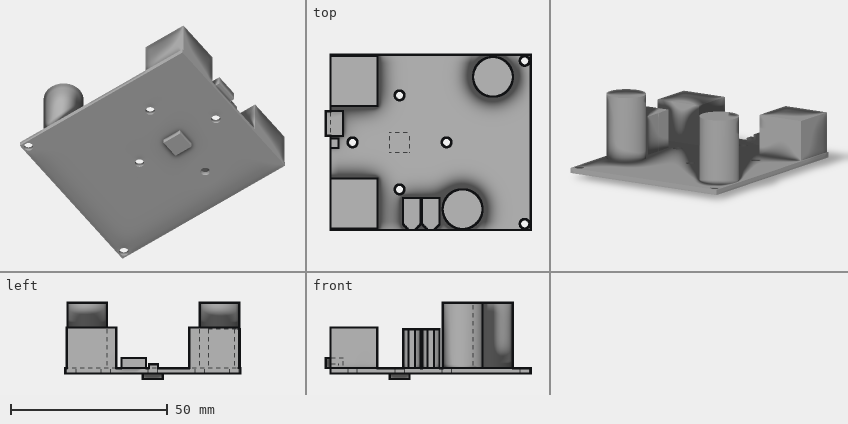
import cadquery as cq

BOARD_LENGTH = 64.0
BOARD_WIDTH = 56.0
BOARD_THICKNESS = 1.7
BOARD_MID_Y = BOARD_WIDTH / 2

HOLE_DIAMETER = 3.0
CORNER_HOLE_INSET = 2.0
HOLE_RING_RADIUS = 15.0
HOLE_RING_X = 22.1

SOCKET_LENGTH = 15.0
SOCKET_WIDTH = 15.9
SOCKET_HEIGHT = 13.0
SOCKET_EDGE_GAP = 0.5

USB_LENGTH = 5.6
USB_WIDTH = 7.9
USB_HEIGHT = 3.3
USB_OVERHANG = 1.5
USB_Y = 30.1

LAMP_LENGTH = 2.6
LAMP_WIDTH = 3.0
LAMP_HEIGHT = 1.3
LAMP_Y = 26.25

TERMINAL_LENGTH = 5.6
TERMINAL_WIDTH = 10.1
TERMINAL_EDGE_GAP = 0.1
TERMINAL_HEIGHT = 12.5
TERMINAL_BEVEL = 1.75
TERMINAL_START_X = 23.2
TERMINAL_PITCH = 6.1
TERMINAL_COUNT = 2

CAPACITOR_DIAMETER = 12.7
CAPACITOR_HEIGHT = 20.95
CAPACITOR_CENTERS = [(42.2, 6.7), (51.9, 48.9)]

CHIP_SIDE = 6.4
CHIP_HEIGHT = 1.8


def block(x, y, length, width, height):
    """Box standing on the board, with its minimum X and Y corner at (x, y)."""
    return cq.Workplane("XY").box(length, width, height, centered=False).translate((x, y, 0))


def make_board():
    corner_x = BOARD_LENGTH - CORNER_HOLE_INSET
    hole_centers = [
        (corner_x, CORNER_HOLE_INSET),
        (corner_x, BOARD_WIDTH - CORNER_HOLE_INSET),
        (HOLE_RING_X - HOLE_RING_RADIUS, BOARD_MID_Y),
        (HOLE_RING_X + HOLE_RING_RADIUS, BOARD_MID_Y),
        (HOLE_RING_X, BOARD_MID_Y - HOLE_RING_RADIUS),
        (HOLE_RING_X, BOARD_MID_Y + HOLE_RING_RADIUS),
    ]
    plate = block(0, 0, BOARD_LENGTH, BOARD_WIDTH, BOARD_THICKNESS)
    holes = cq.Workplane("XY").pushPoints(hole_centers).circle(HOLE_DIAMETER / 2).extrude(BOARD_THICKNESS)
    return plate.cut(holes).translate((0, 0, -BOARD_THICKNESS))


def make_sockets():
    far_y = BOARD_WIDTH - SOCKET_EDGE_GAP - SOCKET_WIDTH
    return [
        block(0, y, SOCKET_LENGTH, SOCKET_WIDTH, SOCKET_HEIGHT)
        for y in (SOCKET_EDGE_GAP, far_y)
    ]


def make_usb():
    """USB socket, with its overhang level with the board's top face."""
    return block(-USB_OVERHANG, USB_Y, USB_LENGTH, USB_WIDTH, USB_HEIGHT)


def make_lamp():
    return block(0, LAMP_Y, LAMP_LENGTH, LAMP_WIDTH, LAMP_HEIGHT)


def make_terminal(x):
    body = block(x, TERMINAL_EDGE_GAP, TERMINAL_LENGTH, TERMINAL_WIDTH, TERMINAL_HEIGHT)
    return body.faces("<Y").edges("|Z").chamfer(TERMINAL_BEVEL)


def make_capacitors():
    return (
        cq.Workplane("XY")
        .pushPoints(CAPACITOR_CENTERS)
        .circle(CAPACITOR_DIAMETER / 2)
        .extrude(CAPACITOR_HEIGHT)
    )


def make_chip():
    return (
        cq.Workplane("XY", origin=(HOLE_RING_X, BOARD_MID_Y, -BOARD_THICKNESS))
        .rect(CHIP_SIDE, CHIP_SIDE)
        .extrude(-CHIP_HEIGHT)
    )


result = make_board()
for socket in make_sockets():
    result = result.union(socket)
result = result.union(make_usb())
result = result.union(make_lamp())
for index in range(TERMINAL_COUNT):
    result = result.union(make_terminal(TERMINAL_START_X + index * TERMINAL_PITCH))
result = result.union(make_capacitors())
result = result.union(make_chip())